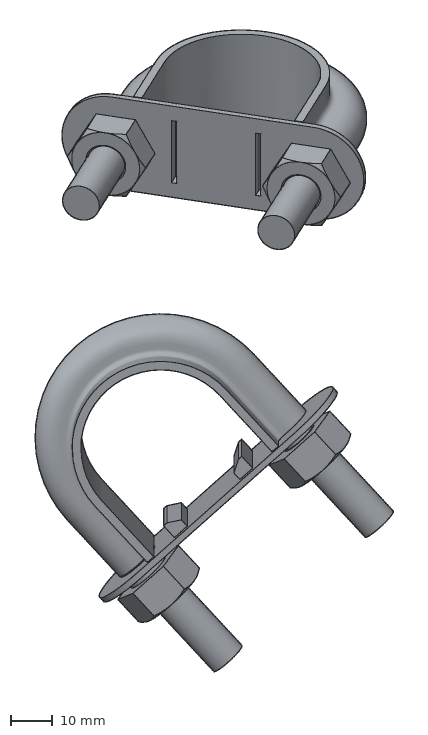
import cadquery as cq
import math

WIDTH = 25.0

LEG_OFFSET = 24.4
CORE_D = 8.2
THREAD_D = 9.2
ROD_END_Y = -50.8

BAND_INNER_R = 19.1
BAND_OUTER_R = 21.2
BULGE_R = 5.65
RIDGE_FILLET = 1.45
SLEEVE_END_Y = -18.5
BUSH_D = 10.8

PLATE_LENGTH = 75.5
PLATE_SHIFT_X = -0.8
PLATE_THICK = 1.5
PLATE_GAP = 0.25
PLATE_TOP_Y = SLEEVE_END_Y - PLATE_GAP
PLATE_BOTTOM_Y = PLATE_TOP_Y - PLATE_THICK

TAB_OUTER_X = 12.6
TAB_INNER_X = 8.5
TAB_LENGTH = 20.05
TAB_HIGH = 3.9
TAB_FLAT = 1.05
TAB_SLOPE_X = TAB_OUTER_X - TAB_FLAT
ROOF_ANGLE = math.radians(30)
SLOT_OUTER_X = 11.15
SLOT_INNER_X = 9.9
SLOT_LENGTH = 17.0
ROOF_DROP = 1.7

NUT_FLATS = 17.0
NUT_CORNERS = NUT_FLATS / math.cos(math.pi / 6)
NUT_HEIGHT = 8.25
NUT_GAP = 2.1
NUT_TOP_Y = PLATE_BOTTOM_Y - NUT_GAP
NUT_BOTTOM_Y = NUT_TOP_Y - NUT_HEIGHT
CHAMFER_ANGLE = math.radians(30)
COUNTERSINK_D = 10.0

SIDES = (-1, 1)


def leg_cylinder(side, top_y, bottom_y, diameter):
    """Cylinder on the axis of one leg, from top_y down to bottom_y."""
    plane = cq.Workplane("XZ", origin=(side * LEG_OFFSET, top_y, 0))
    return plane.circle(diameter / 2).extrude(top_y - bottom_y)


def half_turn(section):
    """Sweep a section drawn on the +X side of the XZ plane round the U bend."""
    return section.revolve(180, (0, 0), (0, 1))


def make_rod():
    """U-bent rod whose legs thicken into threaded ends at the top of the nuts."""
    rod = half_turn(cq.Workplane("XZ").moveTo(LEG_OFFSET, 0).circle(CORE_D / 2))
    for side in SIDES:
        rod = rod.union(leg_cylinder(side, 0, NUT_TOP_Y, CORE_D))
        rod = rod.union(leg_cylinder(side, NUT_TOP_Y, ROD_END_Y, THREAD_D))
    return rod


def sleeve_section(plane, direction):
    """Section of one leg of the sleeve: a flat band with a round-topped, filleted ridge.

    direction is 1 for the +X leg and -1 for the -X leg.
    """
    half = WIDTH / 2
    blend = RIDGE_FILLET * (1 - math.sqrt(0.5))
    foot_z = BULGE_R + RIDGE_FILLET
    side_r = BAND_OUTER_R + RIDGE_FILLET

    def at(r, z):
        return direction * r, z

    return (
        plane.moveTo(*at(BAND_INNER_R, -half))
        .lineTo(*at(BAND_OUTER_R, -half))
        .lineTo(*at(BAND_OUTER_R, -foot_z))
        .threePointArc(at(BAND_OUTER_R + blend, -BULGE_R - blend), at(side_r, -BULGE_R))
        .lineTo(*at(LEG_OFFSET, -BULGE_R))
        .threePointArc(at(LEG_OFFSET + BULGE_R, 0), at(LEG_OFFSET, BULGE_R))
        .lineTo(*at(side_r, BULGE_R))
        .threePointArc(at(BAND_OUTER_R + blend, BULGE_R + blend), at(BAND_OUTER_R, foot_z))
        .lineTo(*at(BAND_OUTER_R, half))
        .lineTo(*at(BAND_INNER_R, half))
        .close()
    )


def make_sleeve(rod):
    """Sleeve round the U bend and legs, with a bush on the +X leg down to the nut."""
    sleeve = half_turn(sleeve_section(cq.Workplane("XZ"), 1))
    for side in SIDES:
        leg = sleeve_section(cq.Workplane("XZ"), side).extrude(-SLEEVE_END_Y)
        sleeve = sleeve.union(leg)
    sleeve = sleeve.union(leg_cylinder(1, SLEEVE_END_Y, NUT_TOP_Y, BUSH_D))
    return sleeve.cut(rod)


def tab_profile(side, points):
    """Closed outline in the XY plane from (x, height above the plate) points."""
    return cq.Workplane("XY").polyline([(side * x, PLATE_TOP_Y + y) for x, y in points]).close()


def roof_height(x):
    """Height above the plate of the sloping roof of a tab."""
    return TAB_HIGH - (TAB_SLOPE_X - x) * math.tan(ROOF_ANGLE)


def make_tab(side):
    """Solid tab, high on its outer side and sloping down towards the middle."""
    points = [
        (TAB_OUTER_X, 0),
        (TAB_OUTER_X, TAB_HIGH),
        (TAB_SLOPE_X, TAB_HIGH),
        (TAB_INNER_X, roof_height(TAB_INNER_X)),
        (TAB_INNER_X, 0),
    ]
    return tab_profile(side, points).extrude(TAB_LENGTH / 2, both=True)


def make_slot(side):
    """Slot through the plate into a tab, ending parallel to the sloping roof."""
    points = [
        (SLOT_OUTER_X, -PLATE_THICK),
        (SLOT_OUTER_X, roof_height(SLOT_OUTER_X) - ROOF_DROP),
        (SLOT_INNER_X, roof_height(SLOT_INNER_X) - ROOF_DROP),
        (SLOT_INNER_X, -PLATE_THICK),
    ]
    return tab_profile(side, points).extrude(SLOT_LENGTH / 2, both=True)


def make_plate():
    """Round-ended plate with two hollow tabs and a hole for each leg."""
    plate = (
        cq.Workplane("XZ", origin=(PLATE_SHIFT_X, PLATE_TOP_Y, 0))
        .slot2D(PLATE_LENGTH, WIDTH)
        .extrude(PLATE_THICK)
    )
    for side, hole_d in zip(SIDES, (CORE_D, BUSH_D)):
        plate = plate.union(make_tab(side)).cut(make_slot(side))
        plate = plate.cut(leg_cylinder(side, PLATE_TOP_Y, PLATE_BOTTOM_Y, hole_d))
    return plate


def make_nut(side):
    """Hexagon nut, chamfered and countersunk on its lower face."""
    x = side * LEG_OFFSET
    nut = (
        cq.Workplane("XZ", origin=(x, NUT_TOP_Y, 0))
        .polygon(6, NUT_CORNERS)
        .extrude(NUT_HEIGHT)
    )
    corner_r = NUT_CORNERS / 2
    face_r = NUT_FLATS / 2
    bore_r = THREAD_D / 2
    sink_r = COUNTERSINK_D / 2
    chamfer_height = (corner_r - face_r) * math.tan(CHAMFER_ANGLE)
    turned = (
        cq.Workplane("XY", origin=(x, 0, 0))
        .moveTo(bore_r, NUT_TOP_Y)
        .lineTo(corner_r, NUT_TOP_Y)
        .lineTo(corner_r, NUT_BOTTOM_Y + chamfer_height)
        .lineTo(face_r, NUT_BOTTOM_Y)
        .lineTo(sink_r, NUT_BOTTOM_Y)
        .lineTo(bore_r, NUT_BOTTOM_Y + sink_r - bore_r)
        .close()
        .revolve(360, (0, 0), (0, 1))
    )
    return nut.intersect(turned)


rod = make_rod()
sleeve = make_sleeve(rod)
plate = make_plate()
nuts = [make_nut(side) for side in SIDES]

result = cq.Compound.makeCompound(
    [rod.val(), sleeve.val(), plate.val(), *[nut.val() for nut in nuts]]
)